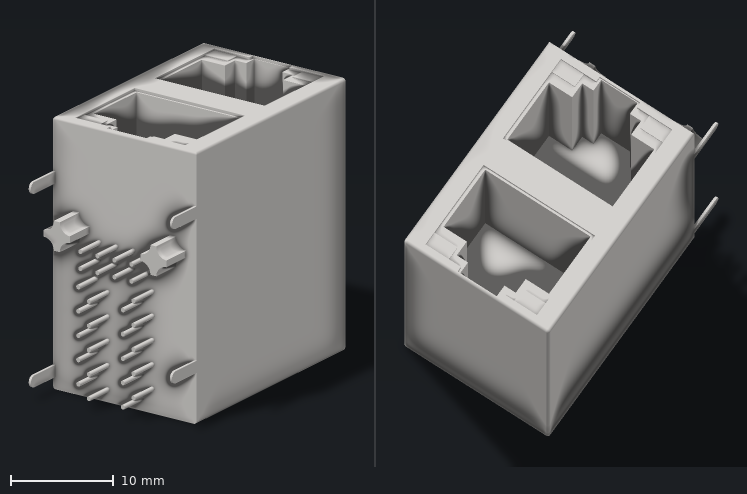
import cadquery as cq

overall_depth = 29.35
body_width = 17.08
body_depth = 25.25
body_height = 28.3
edge_radius = 0.32

port_mirror_y = body_depth / 2
bezel_recess = 0.3
bezel_half_width = 6.55
bezel_inner_y = 14.3
bezel_outer_y = 24.3
bezel_latch_half_width = 2.38
bezel_latch_y = 24.9

cavity_depth = 14.68
cavity_half_width = 6.2
cavity_inner_y = 14.53
cavity_shoulder_y = 21.72
cavity_step_half_width = 3.45
cavity_step_y = 23.45
cavity_latch_half_width = 2.15
cavity_latch_y = 24.8

window_width = 2.7
window_length = 1.55
window_rise = 0.12

tab_length = overall_depth - body_depth
tab_height = 1.25
tab_thickness = 0.25
upper_tab_z = 22.0
left_lower_tab_z = 1.9
right_lower_tab_z = 6.0

peg_length = 3.32
peg_x = 5.75
peg_z = 17.43
peg_reach = 1.55
peg_tip_half_width = 0.35

pin_radius = 0.23
pin_length = 3.2
pin_embed = 0.3
row_pitch = 2.03
row_pin_count = 4
row_zs = (16.4, 14.65)
column_pitch = 2.52
column_pin_count = 5
outer_column_x = 3.3
inner_column_x = 2.03
outer_column_base_z = 2.58
inner_column_base_z = 1.35


def stepped_outline(half_profile):
    """Closed outline symmetric about X = 0 from its +X half."""
    mirrored = [(-x, y) for x, y in reversed(half_profile)]
    return cq.Workplane("XY").polyline(half_profile + mirrored).close()


def housing():
    """Block with rounded edges, left sharp where the pin face meets the sides and base."""
    block = cq.Workplane("XY").box(body_width, body_depth, body_height, centered=(True, False, False))
    return block.edges(">Z or >Y or (<Z and |Y)").fillet(edge_radius)


def port_cut():
    """Shallow bezel recess over a deep stepped jack cavity, with raised windows left standing."""
    recess = stepped_outline([
        (bezel_half_width, bezel_inner_y),
        (bezel_half_width, bezel_outer_y),
        (bezel_latch_half_width, bezel_outer_y),
        (bezel_latch_half_width, bezel_latch_y),
    ]).extrude(bezel_recess)
    for side in (-1, 1):
        window = (
            cq.Workplane("XY")
            .center(side * (bezel_half_width - window_width / 2), bezel_outer_y - window_length / 2)
            .rect(window_width, window_length)
            .extrude(window_rise)
        )
        recess = recess.cut(window)
    cavity = stepped_outline([
        (cavity_half_width, cavity_inner_y),
        (cavity_half_width, cavity_shoulder_y),
        (cavity_step_half_width, cavity_shoulder_y),
        (cavity_step_half_width, cavity_step_y),
        (cavity_latch_half_width, cavity_step_y),
        (cavity_latch_half_width, cavity_latch_y),
    ]).extrude(cavity_depth)
    recess = recess.translate((0, 0, body_height - bezel_recess))
    cavity = cavity.translate((0, 0, body_height - cavity_depth))
    return recess.union(cavity)


def shield_tab(side, z):
    """Round-ended tab flush with a side face; side is -1 for -X and +1 for +X."""
    tip_radius = tab_height / 2
    outer_x = side * body_width / 2
    tab = (
        cq.Workplane("YZ")
        .moveTo(edge_radius, z - tip_radius)
        .lineTo(tip_radius - tab_length, z - tip_radius)
        .threePointArc((-tab_length, z), (tip_radius - tab_length, z + tip_radius))
        .lineTo(edge_radius, z + tip_radius)
        .close()
        .extrude(-side * tab_thickness)
    )
    return tab.translate((outer_x, 0, 0))


def locating_peg(x):
    """Four-pointed peg: a square with a quarter circle scooped from each corner."""
    peg = cq.Workplane("XZ").rect(2 * peg_reach, 2 * peg_reach).extrude(peg_length)
    scoops = (
        cq.Workplane("XZ")
        .rect(2 * peg_reach, 2 * peg_reach, forConstruction=True)
        .vertices()
        .circle(peg_reach - peg_tip_half_width)
        .extrude(peg_length)
    )
    return peg.cut(scoops).translate((x, 0, peg_z))


def contact_pins():
    """Two straight rows of pins above two staggered pairs of columns."""
    first_row_x = -row_pitch * (row_pin_count - 1) / 2
    points = [(first_row_x + i * row_pitch, z) for z in row_zs for i in range(row_pin_count)]
    for side in (-1, 1):
        for i in range(column_pin_count):
            points.append((side * outer_column_x, outer_column_base_z + i * column_pitch))
            points.append((side * inner_column_x, inner_column_base_z + i * column_pitch))
    pins = cq.Workplane("XZ", origin=(0, pin_embed, 0)).pushPoints(points)
    return pins.circle(pin_radius).extrude(pin_length + pin_embed)


port = port_cut()
near_port = port.mirror("XZ", (0, port_mirror_y, 0))
result = housing().cut(port).cut(near_port)

for side, lower_z in ((-1, left_lower_tab_z), (1, right_lower_tab_z)):
    for z in (upper_tab_z, lower_z):
        result = result.union(shield_tab(side, z))

for side in (-1, 1):
    result = result.union(locating_peg(side * peg_x))

result = result.union(contact_pins())